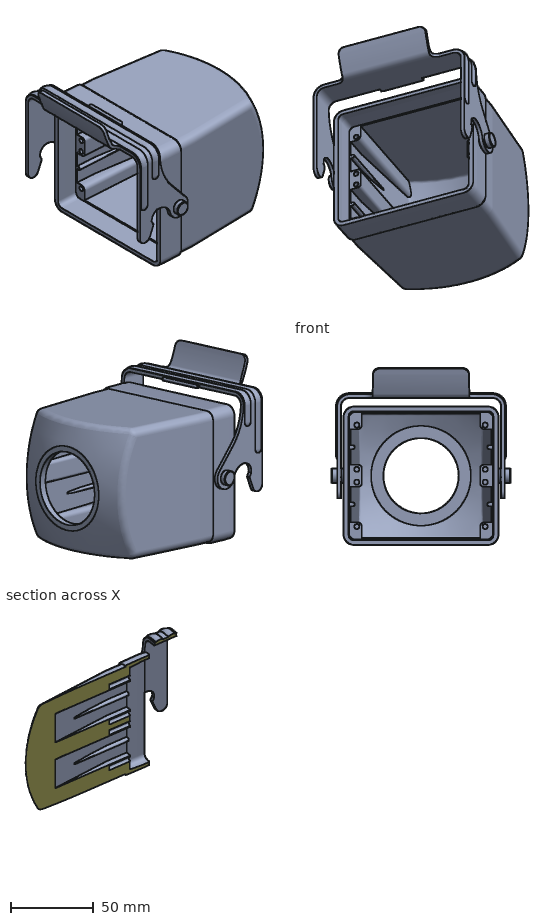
import cadquery as cq
import math


rear_y = 98.0
body_half_x = 45.7
body_half_z = 40.8
body_round = 5.2
taper_start_y = 29.3
taper_angle = 5.0
dome_radius = 89.6
dome_flat_radius = 26.2
dome_centre_y = rear_y - math.sqrt(dome_radius**2 - dome_flat_radius**2)
cable_hole_radius = 22.7

collar_depth = 17.8
collar_half_x = 47.0
collar_half_z = 42.0
collar_draft = 0.1
parting_y = 5.3
collar_round = collar_half_x - body_half_x + body_round
collar_back_round = 0.8

mouth_half_x = 43.9
mouth_half_z = 39.1
mouth_round = collar_round - (collar_half_x - mouth_half_x)
mouth_depth = 14.5
mouth_back_half_x = 43.5
mouth_back_half_z = 38.5
wall = 3.2
cavity_half_x = body_half_x - wall
cavity_half_z = body_half_z - wall
cavity_round = body_round - wall
floor_y = 93.2

post_inner_x = 35.8
middle_post_round = 2.1
corner_post_round = 3.1
middle_post_half_z = 6.6
corner_post_inner_z = 28.0
screw_hole_x = 38.9
screw_hole_z = (3.9, 30.7)
screw_hole_radius = 1.5
screw_hole_depth = 15.5
guide_z = 17.3
guide_width = 2.3
guide_tip_x = 40.2

pin_y = 11.9
pin_radius = 4.5
pin_end_x = 54.2
pin_end_chamfer = 0.4

reach = 155.0

sheet = 2.3
lever_half_x = 50.7
lever_top_z = 49.3
lever_bend_radius = 7.4
lever_front_y = -20.4
lever_back_y = -3.7
pivot_eye_radius = 7.4
hook_y = -4.6
hook_radius = 6.0
back_curve_radius = 37.2
back_curve_top_z = 43.1
toe_y = -16.1
toe_radius = toe_y - lever_front_y
toe_z = -9.4
barb_tip = (-9.2, -3.6)
barb_angle = 190.0

bead_places = ((-7.5, 28.5), (-16.8, 10.2))
bead_width = 5.4
bead_height = 0.84
bead_root = 0.3

grip_half_x = 29.2
grip_flare = 5.0
grip_bend_y = -21.7
grip_bend_radius = 3.2
grip_bend_angle = 64.0
grip_curve_radius = 73.6
grip_end_angle = 76.5
grip_corner = 4.1

tab_half_x = 14.2
tab_roll_radius = 1.2
tab_roll_y = -1.4
tab_corner = 1.0


def block(x_limits, y_limits, z_limits):
    """Box between the given limits."""
    sizes = [high - low for low, high in (x_limits, y_limits, z_limits)]
    corner = (x_limits[0], y_limits[0], z_limits[0])
    return cq.Workplane("XY").box(*sizes, centered=False).translate(corner)


def lofted_bar(round_radius, *sections):
    """Bar along Y through rounded rectangles, each given as Y, half width and half height."""
    wires = []
    for y, half_x, half_z in sections:
        start = cq.Workplane("XZ", origin=(0, y, 0))
        slab = start.rect(2 * half_x, 2 * half_z).extrude(1.3).edges("|Y").fillet(round_radius)
        wires.append(slab.faces(">Y").wires().val())
    return cq.Workplane(cq.Solid.makeLoft(wires, ruled=True))


def rod_along_y(radius, front_y, back_y, x=0, z=0):
    """Round rod along Y."""
    start = cq.Workplane("XZ", origin=(x, front_y, z))
    return start.circle(radius).extrude(front_y - back_y)


def mirrored(points):
    """Outline points on the +X side followed by their mirror images."""
    return points + [(-x, y) for x, y in reversed(points)]


def on_circle(centre, radius, angle):
    """Point of a circle at an angle in degrees."""
    turn = math.radians(angle)
    return (centre[0] + radius * math.cos(turn), centre[1] + radius * math.sin(turn))


def arc_to(centre, radius, start_angle, end_angle):
    """Middle and end points of an arc that starts and ends at the given angles."""
    middle_angle = (start_angle + end_angle) / 2
    return on_circle(centre, radius, middle_angle), on_circle(centre, radius, end_angle)


def tangent_angle(from_centre, to_centre, radius_sum, side):
    """Contact angle, on the first circle, of a line touching two circles on opposite sides.

    The contact point on the second circle lies half a turn further on. The second
    circle may be a plain point.
    """
    across = to_centre[0] - from_centre[0]
    up = to_centre[1] - from_centre[1]
    swing = math.acos(radius_sum / math.hypot(across, up))
    return math.degrees(math.atan2(up, across) + side * swing)


def dome(radius):
    """Sphere that shapes the rear wall of the hood."""
    return cq.Workplane("XY").sphere(radius).translate((0, dome_centre_y, 0))


def tapered_plan(half_x, front_y):
    """Plan outline with sides that draw in toward the rear."""
    end_y = dome_centre_y + dome_radius
    end_half_x = half_x - (end_y - taper_start_y) * math.tan(math.radians(taper_angle))
    right_side = [(half_x, front_y), (half_x, taper_start_y), (end_half_x, end_y)]
    return cq.Workplane("XY").polyline(mirrored(right_side)).close()


def hood_shell():
    """Tapered body with a domed rear, rounded all around, and a flat on the dome."""
    shell = tapered_plan(body_half_x, 0).extrude(body_half_z, both=True)
    shell = shell.intersect(dome(dome_radius))
    upright = shell.edges("|Z").vals()
    rounded = [
        edge for edge in shell.edges("not(<Y)").vals()
        if not any(edge.isSame(other) for other in upright)
    ]
    shell = shell.newObject(rounded).fillet(body_round)
    return shell.cut(block((-reach, reach), (rear_y, reach), (-reach, reach)))


def collar():
    """Thicker band around the opening, widest at the parting line."""
    narrow_x = collar_half_x - collar_draft
    narrow_z = collar_half_z - collar_draft
    return lofted_bar(
        collar_round,
        (0, narrow_x, narrow_z),
        (parting_y, collar_half_x, collar_half_z),
        (collar_depth, narrow_x, narrow_z),
    ).faces(">Y").edges().fillet(collar_back_round)


def posts_and_guides():
    """Screw posts and half-round guide ribs, reaching back to the dome."""
    y_limits = (mouth_depth, rear_y)
    post_x = (post_inner_x, body_half_x)
    post = block(post_x, y_limits, (-middle_post_half_z, middle_post_half_z))
    inserts = post.edges("|Y and <X").fillet(middle_post_round)
    upper_post = block(post_x, y_limits, (corner_post_inner_z, body_half_z))
    upper_post = upper_post.edges("|Y and <X and <Z").fillet(corner_post_round)
    inserts = inserts.union(upper_post).union(upper_post.mirror("XY"))

    tip_radius = guide_width / 2
    tip_centre_x = guide_tip_x + tip_radius
    for z in (-guide_z, guide_z):
        guide = block((tip_centre_x, body_half_x), y_limits, (z - tip_radius, z + tip_radius))
        tip = rod_along_y(tip_radius, *y_limits, x=tip_centre_x, z=z)
        inserts = inserts.union(guide).union(tip)

    for distance in screw_hole_z:
        for z in (-distance, distance):
            hole = rod_along_y(
                screw_hole_radius, mouth_depth, mouth_depth + screw_hole_depth, x=screw_hole_x, z=z
            )
            inserts = inserts.cut(hole)
    return inserts.union(inserts.mirror("YZ"))


def cavity():
    """Space inside the hood: a wide mouth, then a smaller tapering chamber with a flat floor."""
    chamber = tapered_plan(cavity_half_x, mouth_depth).extrude(cavity_half_z, both=True)
    chamber = chamber.intersect(dome(dome_radius - wall))
    chamber = chamber.faces("%SPHERE").edges().fillet(cavity_round)
    chamber = chamber.cut(block((-reach, reach), (floor_y, reach), (-reach, reach)))
    chamber = chamber.cut(posts_and_guides())
    mouth = lofted_bar(
        mouth_round,
        (0, mouth_half_x, mouth_half_z),
        (parting_y, mouth_half_x, mouth_half_z),
        (mouth_depth, mouth_back_half_x, mouth_back_half_z),
    )
    return chamber.union(mouth)


def hood():
    """Hollow hood with its collar and the round cable hole through the rear wall."""
    cable_hole = rod_along_y(cable_hole_radius, 0, reach)
    return hood_shell().union(collar()).cut(cavity()).cut(cable_hole)


def pin():
    """Pivot pin on the +X side, rooted in the collar wall."""
    root_x = (mouth_half_x + collar_half_x) / 2
    rod = cq.Workplane("YZ", origin=(root_x, pin_y, 0)).circle(pin_radius).extrude(pin_end_x - root_x)
    return rod.faces(">X").edges().chamfer(pin_end_chamfer)


def filled_arch(inset):
    """Solid arch along Y whose surface lies the given distance inside the lever's outer face."""
    half_x = lever_half_x - inset
    arch = block((-half_x, half_x), (lever_front_y, reach), (-reach, lever_top_z - inset))
    return arch.edges("|Y and >Z").fillet(lever_bend_radius - inset)


def lever_side():
    """Side profile of the lever: hooked front leg and an arm back to the pivot eye."""
    toe = (toe_y, toe_z)
    hook = (hook_y, 0)
    eye = (pin_y, 0)
    back_curve = (lever_back_y + back_curve_radius, back_curve_top_z)
    toe_end = tangent_angle(toe, barb_tip, toe_radius, -1)
    throat_radius = (math.dist(hook, eye)**2 + hook_radius**2 - pivot_eye_radius**2) / (
        2 * (hook_radius + pivot_eye_radius)
    )
    throat = (hook_y, hook_radius - throat_radius)
    eye_start = math.degrees(math.atan2(throat[1] - eye[1], throat[0] - eye[0])) + 360
    throat_end = eye_start - 180
    eye_end = tangent_angle(eye, back_curve, pivot_eye_radius + back_curve_radius, -1)
    curve_start = eye_end + 180
    return (
        cq.Workplane("YZ")
        .moveTo(lever_front_y, lever_top_z)
        .lineTo(lever_front_y, toe_z)
        .threePointArc(*arc_to(toe, toe_radius, 180, 360 + toe_end))
        .lineTo(*barb_tip)
        .lineTo(*on_circle(hook, hook_radius, barb_angle))
        .threePointArc(*arc_to(hook, hook_radius, barb_angle, 90))
        .threePointArc(*arc_to(throat, throat_radius, 90, throat_end))
        .threePointArc(*arc_to(eye, pivot_eye_radius, eye_start, 360 + eye_end))
        .lineTo(*on_circle(back_curve, back_curve_radius, curve_start))
        .threePointArc(*arc_to(back_curve, back_curve_radius, curve_start, 180))
        .lineTo(lever_back_y, lever_top_z)
        .close()
    )


def bead(centre_y, lowest_z):
    """Raised stiffening bead over the bend, with a curved crown and round lower ends."""
    half_width = bead_width / 2
    crown_radius = (half_width**2 + bead_height**2) / (2 * bead_height)
    end_z = lowest_z + half_width
    bend_z = lever_top_z - lever_bend_radius
    bend_x = lever_half_x - lever_bend_radius
    bend_middle = on_circle((bend_x, bend_z), lever_bend_radius, 45)
    buried_x = lever_half_x - bead_root
    section = (
        cq.Workplane("XY", origin=(0, centre_y, end_z))
        .moveTo(buried_x, -half_width)
        .lineTo(lever_half_x, -half_width)
        .threePointArc((lever_half_x + bead_height, 0), (lever_half_x, half_width))
        .lineTo(buried_x, half_width)
        .close()
    )
    path = (
        cq.Workplane("XZ", origin=(0, centre_y, 0))
        .moveTo(lever_half_x, end_z)
        .lineTo(lever_half_x, bend_z)
        .threePointArc(bend_middle, (bend_x, lever_top_z))
        .lineTo(0, lever_top_z)
    )
    end_ball = cq.Workplane("XY").sphere(crown_radius)
    end_ball = end_ball.translate((lever_half_x + bead_height - crown_radius, centre_y, end_z))
    end_cap = end_ball.intersect(block((buried_x, reach), (-reach, reach), (-reach, end_z)))
    half = section.sweep(path).union(end_cap)
    return half.union(half.mirror("YZ"))


def finger_grip():
    """Curled-up lip on the front edge, flared where it leaves the lever."""
    middle_z = lever_top_z - sheet / 2
    bend = (grip_bend_y, middle_z + grip_bend_radius)
    bend_end_angle = 270 - grip_bend_angle
    tip_angle = 270 - grip_end_angle
    curve = on_circle(bend, grip_bend_radius - grip_curve_radius, bend_end_angle)
    half_sheet = sheet / 2
    root_y = lever_front_y + sheet
    root_half_x = grip_half_x + grip_flare
    flare_end_y = lever_front_y - grip_flare
    lip = (
        cq.Workplane("YZ")
        .moveTo(root_y, middle_z - half_sheet)
        .lineTo(grip_bend_y, middle_z - half_sheet)
        .threePointArc(*arc_to(bend, grip_bend_radius + half_sheet, 270, bend_end_angle))
        .threePointArc(*arc_to(curve, grip_curve_radius + half_sheet, bend_end_angle, tip_angle))
        .lineTo(*on_circle(curve, grip_curve_radius - half_sheet, tip_angle))
        .threePointArc(*arc_to(curve, grip_curve_radius - half_sheet, tip_angle, bend_end_angle))
        .threePointArc(*arc_to(bend, grip_bend_radius - half_sheet, bend_end_angle, 270))
        .lineTo(root_y, middle_z + half_sheet)
        .close()
        .extrude(root_half_x, both=True)
    )
    flare_middle = on_circle((root_half_x, flare_end_y), grip_flare, 135)
    side_trim = (
        cq.Workplane("XY")
        .moveTo(root_half_x, lever_front_y)
        .threePointArc(flare_middle, (grip_half_x, flare_end_y))
        .lineTo(grip_half_x, -reach)
        .lineTo(reach, -reach)
        .lineTo(reach, lever_front_y)
        .close()
        .extrude(reach)
    )
    lip = lip.cut(side_trim).cut(side_trim.mirror("YZ"))
    tip_corners = cq.selectors.BoxSelector(
        (-reach, -reach, lever_top_z + grip_corner), (reach, lever_front_y, reach)
    )
    return lip.edges(tip_corners).edges("%LINE and (not |X)").fillet(grip_corner)


def rolled_tab():
    """Short tab with a rolled end on the back edge of the lever."""
    middle_z = lever_top_z - sheet / 2
    plate = block(
        (-tab_half_x, tab_half_x), (lever_back_y - sheet, tab_roll_y), (lever_top_z - sheet, middle_z)
    )
    roll = cq.Workplane("YZ", origin=(0, tab_roll_y, middle_z)).circle(tab_roll_radius)
    roll = roll.extrude(tab_half_x, both=True).edges().fillet(tab_corner)
    return plate.union(roll)


def lever():
    """Bent sheet lever with its beads, finger grip and rolled tab."""
    sheet_arch = filled_arch(0).cut(filled_arch(sheet))
    frame = sheet_arch.intersect(lever_side().extrude(reach, both=True))
    for centre_y, lowest_z in bead_places:
        frame = frame.union(bead(centre_y, lowest_z))
    return frame.union(finger_grip()).union(rolled_tab())


result = hood().union(pin()).union(pin().mirror("YZ")).union(lever())